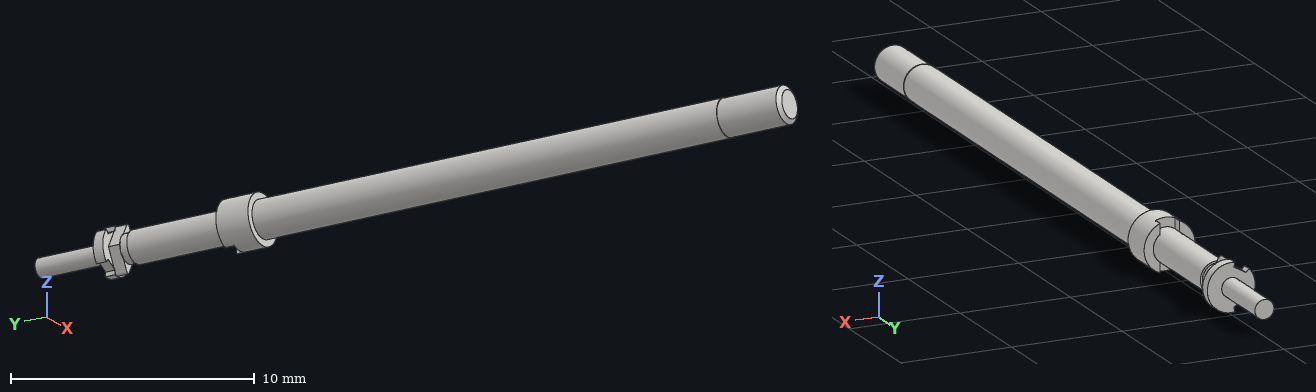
import cadquery as cq
import math

total_length = 36.2
tail_length = 3.22
disc_length = 0.47
diamond_length = 0.55
neck_length = 0.4
barrel_length = 4.55
collar_length = 1.55
tip_length = 3.0

tail_diameter = 0.87
disc_diameter = 2.17
neck_diameter = 1.3
barrel_diameter = 1.5
collar_diameter = 2.3
tube_diameter = 1.7
tip_diameter = 1.65

bevel_length = 0.15
bevel_depth = 0.2

notch_corner_radius = 0.87
notch_start_angle = 98.6
notch_end_angle = 139.2
rim_clearance = 0.35

diamond_tip_radius = 0.1

slot_width = 0.87
slot_depth = 0.45

tail_end_y = total_length / 2
disc_top_y = tail_end_y - tail_length
diamond_top_y = disc_top_y - disc_length
neck_top_y = diamond_top_y - diamond_length
barrel_top_y = neck_top_y - neck_length
collar_top_y = barrel_top_y - barrel_length
tube_top_y = collar_top_y - collar_length
tip_end_y = -total_length / 2
tip_top_y = tip_end_y + tip_length


def section_at(y):
    """Sketch plane at height y whose local axes are X and Z, extruding towards -Y."""
    return cq.Workplane("XZ", origin=(0, y, 0))


def cylinder(diameter, top_y, bottom_y):
    return section_at(top_y).circle(diameter / 2).extrude(top_y - bottom_y)


def polar(radius, angle):
    turn = math.radians(angle)
    return (radius * math.cos(turn), radius * math.sin(turn))


def disc_notch():
    """Cutter for one notch: flat floor and radial end walls, reaching past the rim."""
    rim_radius = disc_diameter / 2
    middle_angle = (notch_start_angle + notch_end_angle) / 2
    clear_radius = rim_radius + rim_clearance
    return (
        section_at(disc_top_y)
        .moveTo(*polar(notch_corner_radius, notch_start_angle))
        .lineTo(*polar(clear_radius, notch_start_angle))
        .threePointArc(polar(clear_radius, middle_angle), polar(clear_radius, notch_end_angle))
        .lineTo(*polar(notch_corner_radius, notch_end_angle))
        .close()
        .extrude(disc_length)
    )


def notched_disc():
    notch = disc_notch()
    disc = cylinder(disc_diameter, disc_top_y, diamond_top_y)
    return disc.cut(notch).cut(notch.mirror("XY"))


def diamond():
    """Four-sided block as wide as the neck in X, its rounded Z tips level with the disc rim."""
    half_width = neck_diameter / 2
    tip_centre = disc_diameter / 2 - diamond_tip_radius
    corner_to_centre = math.hypot(half_width, tip_centre)
    tangent_angle = math.acos(diamond_tip_radius / corner_to_centre) - math.atan2(tip_centre, half_width)
    tangent_x = diamond_tip_radius * math.cos(tangent_angle)
    tangent_z = tip_centre + diamond_tip_radius * math.sin(tangent_angle)
    tip_z = disc_diameter / 2
    return (
        section_at(diamond_top_y)
        .moveTo(half_width, 0)
        .lineTo(tangent_x, tangent_z)
        .threePointArc((0, tip_z), (-tangent_x, tangent_z))
        .lineTo(-half_width, 0)
        .lineTo(-tangent_x, -tangent_z)
        .threePointArc((0, -tip_z), (tangent_x, -tangent_z))
        .close()
        .extrude(diamond_length)
    )


def slotted_collar():
    collar = cylinder(collar_diameter, collar_top_y, tube_top_y)
    slot = section_at(collar_top_y).rect(slot_width, collar_diameter).extrude(slot_depth)
    return collar.cut(slot)


def bevelled_tip():
    tip = cylinder(tip_diameter, tip_top_y, tip_end_y)
    end_edge = tip.faces("<Y").edges()
    return end_edge.chamfer(bevel_length, bevel_depth)


result = (
    cylinder(tail_diameter, tail_end_y, disc_top_y)
    .union(notched_disc())
    .union(diamond())
    .union(cylinder(neck_diameter, neck_top_y, barrel_top_y))
    .union(cylinder(barrel_diameter, barrel_top_y, collar_top_y - slot_depth))
    .union(slotted_collar())
    .union(cylinder(tube_diameter, tube_top_y, tip_top_y))
    .union(bevelled_tip())
)